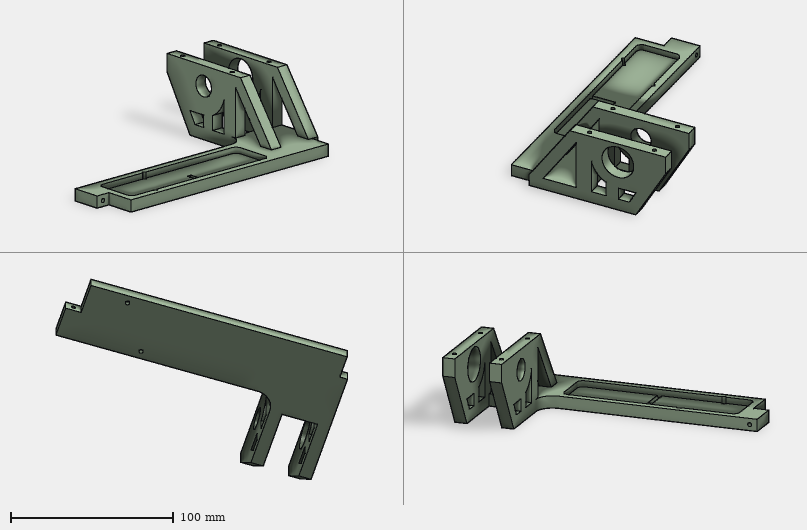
import cadquery as cq
import math

overall_x = 110.0
overall_y = 181.0
overall_z = 48.13

base_height = 8.0
arm_width = 40.0
arm_left = overall_x - arm_width
tab_length = 10.0
tab_width = 20.0
arm_back_setback = 5.0
arm_back = overall_y - arm_back_setback
bridge_left = 59.0
inner_corner_radius = arm_left - bridge_left

cheek_thickness = 8.0
cheek_spacing = 31.0
rear_cheek_front = overall_y - cheek_thickness
front_cheek_front = rear_cheek_front - cheek_spacing
cheek_nose_bottom = 36.13
nose_angle = 30.0
cheek_foot_left = cheek_nose_bottom * math.tan(math.radians(nose_angle))
cheek_top_right = 66.9
strut_angle = 35.0
strut_thickness = 8.0
strut_width = strut_thickness / math.cos(math.radians(strut_angle))

bore_x = 33.3
bore_z = 34.8
front_bore_radius = 7.0
rear_bore_radius = 11.0
bore_rim_radius = 19.0
post_left = 33.0
post_right = 41.6
column_left = 51.7
column_right = 62.4
small_window_left = 25.5
small_window_height = 8.0

screw_diameter = 2.5
screw_depth = 10.0
screw_positions_x = (10.0, 55.0)

pocket_margin = 5.0
pocket_left = arm_left + pocket_margin
pocket_width = arm_width - 2 * pocket_margin
pocket_front = tab_length + pocket_margin
pocket_length = 116.0
pocket_depth = 4.0
pocket_corner_radius = 4.0
pocket_floor = base_height - pocket_depth

pin_diameter = 2.5
left_pin_y = 53.6
right_pin_y = 35.3
groove_y = 78.0
groove_left = 89.3
groove_diameter = 3.0
tab_hole_y = 5.0
tab_hole_depth = tab_width


def strut_run(height):
    """Horizontal travel of the inclined strut over a given height."""
    return height * math.tan(math.radians(strut_angle))


def extrude_along_y(profile, y_front, thickness):
    """Place an XZ profile at y_front and extrude it towards +Y."""
    return profile.extrude(-thickness).translate((0, y_front, 0))


def make_arm():
    arm = cq.Workplane("XY").box(arm_width, arm_back - tab_length, base_height, centered=False)
    arm = arm.translate((arm_left, tab_length, 0))
    tab = cq.Workplane("XY").box(tab_width, tab_length, base_height, centered=False)
    bridge = (
        cq.Workplane("XY")
        .moveTo(bridge_left, arm_back)
        .lineTo(bridge_left, front_cheek_front)
        .radiusArc((arm_left, front_cheek_front - inner_corner_radius), inner_corner_radius)
        .lineTo(arm_left, arm_back)
        .close()
        .extrude(base_height)
    )
    return arm.union(tab.translate((arm_left, 0, 0))).union(bridge)


def cheek_outline():
    strut_foot_right = cheek_top_right + strut_run(overall_z - base_height)
    return cq.Workplane("XZ").polyline([
        (cheek_foot_left, 0),
        (0, cheek_nose_bottom),
        (0, overall_z),
        (cheek_top_right, overall_z),
        (strut_foot_right, base_height),
        (strut_foot_right, 0),
    ]).close()


def cheek_windows(y_front):
    small_top = base_height + small_window_height
    small_top_left = small_window_left - small_window_height * math.tan(math.radians(nose_angle))
    small_window = cq.Workplane("XZ").polyline([
        (small_window_left, base_height),
        (small_top_left, small_top),
        (post_left, small_top),
        (post_left, base_height),
    ]).close()

    def rim_height(x):
        return bore_z - math.sqrt(bore_rim_radius ** 2 - (x - bore_x) ** 2)

    arched_window = (
        cq.Workplane("XZ")
        .moveTo(post_right, base_height)
        .lineTo(post_right, rim_height(post_right))
        .radiusArc((column_left, rim_height(column_left)), -bore_rim_radius)
        .lineTo(column_left, base_height)
        .close()
    )
    strut_inner_foot = cheek_top_right + strut_run(overall_z - base_height) - strut_width
    strut_window_height = (strut_inner_foot - column_right) / math.tan(math.radians(strut_angle))
    strut_window = cq.Workplane("XZ").polyline([
        (column_right, base_height),
        (column_right, base_height + strut_window_height),
        (strut_inner_foot, base_height),
    ]).close()
    windows = extrude_along_y(small_window, y_front, cheek_thickness)
    for profile in (arched_window, strut_window):
        windows = windows.union(extrude_along_y(profile, y_front, cheek_thickness))
    return windows


def make_cheek(y_front, bore_radius):
    cheek = extrude_along_y(cheek_outline(), y_front, cheek_thickness)
    bore = cq.Workplane("XZ").center(bore_x, bore_z).circle(bore_radius)
    screws = (
        cq.Workplane("XY", origin=(0, y_front + cheek_thickness / 2, overall_z))
        .pushPoints([(x, 0) for x in screw_positions_x])
        .circle(screw_diameter / 2)
        .extrude(-screw_depth)
    )
    cheek = cheek.cut(extrude_along_y(bore, y_front, cheek_thickness))
    return cheek.cut(cheek_windows(y_front)).cut(screws)


def make_pocket():
    pocket = cq.Workplane("XY").box(pocket_width, pocket_length, pocket_depth, centered=False)
    pocket = pocket.edges("|Z").fillet(pocket_corner_radius)
    return pocket.translate((pocket_left, pocket_front, pocket_floor))


def make_arm_holes():
    pocket_right = pocket_left + pocket_width
    pins = (
        cq.Workplane("XY")
        .pushPoints([(pocket_left, left_pin_y), (pocket_right, right_pin_y)])
        .circle(pin_diameter / 2)
        .extrude(base_height)
    )
    groove = (
        cq.Workplane("YZ", origin=(groove_left, groove_y, pocket_floor))
        .circle(groove_diameter / 2)
        .extrude(pocket_right - groove_left)
    )
    tab_hole = (
        cq.Workplane("YZ", origin=(arm_left, tab_hole_y, base_height / 2))
        .circle(pin_diameter / 2)
        .extrude(tab_hole_depth)
    )
    return pins.union(groove).union(tab_hole)


body = make_arm()
body = body.union(make_cheek(front_cheek_front, front_bore_radius))
body = body.union(make_cheek(rear_cheek_front, rear_bore_radius))
result = body.cut(make_pocket()).cut(make_arm_holes())